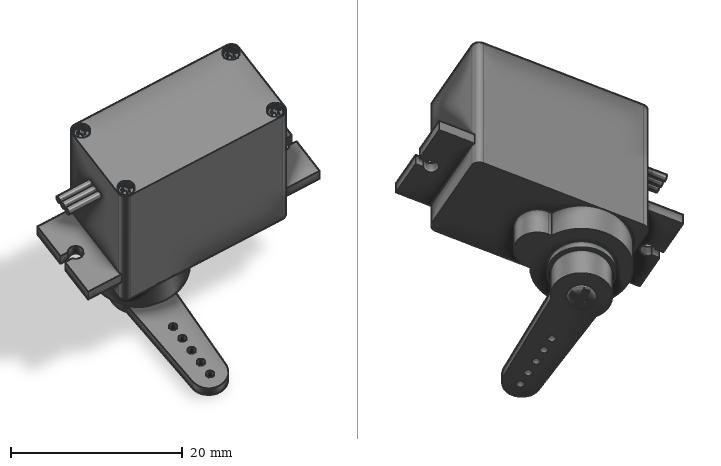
import cadquery as cq
import math


case_width = 12.0
case_length = 23.0
case_height = 21.0
case_corner_radius = 1.0
case_front = -case_width / 2
case_center_y = case_front + case_length / 2

lug_span = 32
lug_width = 11.0
lug_thickness = 1.6
lug_bottom = 3.45
lug_hole_diameter = 1.82
lug_hole_inset = 1.8
lug_slot_width = 1.0

gearbox_height = 4.0
lobe_radius = 2.75
lobe_offset = 5.8

collar_diameter = 8
collar_height = 1.0
shaft_diameter = 4.8
horn_gap = 0.1

wire_diameter = 0.93
wire_pitch = 0.95
wire_count = 3
wire_drop = 5.05
wire_length = (lug_span - case_length) / 2

lid_screw_inset = 1.2
lid_recess_diameter = 2.05
lid_recess_depth = 0.5
lid_head_diameter = 1.8
lid_head_height = 0.45
lid_cross_length = 1.15
lid_cross_width = 0.4
lid_cross_depth = 0.35

hub_diameter = 7.2
hub_height = 4.0
arm_thickness = 1.4
arm_root_half_width = 3.05
arm_tip_radius = 2.3
arm_tip_x = 15.17
arm_hole_diameter = 1.0
arm_hole_first_x = 7.5
arm_hole_last_x = 15.5
arm_hole_count = 5

horn_head_diameter = 3.52
horn_head_height = 0.55
horn_cross_length = 2.8
horn_cross_width = 0.77
horn_cross_depth = 0.4

gearbox_bottom = -gearbox_height
collar_bottom = gearbox_bottom - collar_height
hub_top = collar_bottom - horn_gap
hub_bottom = hub_top - hub_height


def cylinder_down(diameter, top, height):
    """Cylinder on the output axis, hanging from the given level."""
    return cq.Workplane("XY").workplane(offset=top).circle(diameter / 2).extrude(-height)


def screw_head(diameter, height, cross_length, cross_width, cross_depth):
    """Elliptical domed head standing on Z = 0 with a cross recess in its crown."""
    radius = diameter / 2
    dome = (
        cq.Workplane("XZ")
        .lineTo(radius, 0)
        .ellipseArc(radius, height, 0, 90)
        .close()
        .revolve(360, (0, 0), (0, 1))
    )
    cross_floor = cq.Workplane("XY").workplane(offset=height - cross_depth)
    bar_x = cross_floor.rect(cross_length, cross_width).extrude(cross_depth)
    bar_y = cross_floor.rect(cross_width, cross_length).extrude(cross_depth)
    return dome.cut(bar_x).cut(bar_y)


def make_case():
    return (
        cq.Workplane("XY")
        .center(0, case_center_y)
        .rect(case_width, case_length)
        .extrude(case_height)
        .edges("|Z")
        .fillet(case_corner_radius)
    )


def make_lugs():
    """One bar through the case, with an open keyhole at each end."""
    base = cq.Workplane("XY").workplane(offset=lug_bottom).center(0, case_center_y)
    lugs = base.rect(lug_width, lug_span).extrude(lug_thickness)
    for end in (-1, 1):
        hole_y = end * (lug_span / 2 - lug_hole_inset)
        slot_y = end * (lug_span - lug_hole_inset) / 2
        hole = base.center(0, hole_y).circle(lug_hole_diameter / 2).extrude(lug_thickness)
        slot = base.center(0, slot_y).rect(lug_slot_width, lug_hole_inset).extrude(lug_thickness)
        lugs = lugs.cut(hole).cut(slot)
    return lugs


def make_gearbox():
    main = cylinder_down(case_width, 0, gearbox_height)
    lobe = (
        cq.Workplane("XY")
        .center(0, lobe_offset / 2)
        .slot2D(lobe_offset + 2 * lobe_radius, 2 * lobe_radius, 90)
        .extrude(-gearbox_height)
    )
    return main.union(lobe)


def make_output():
    """Collar, and the shaft that bridges the small gap down to the horn."""
    collar = cylinder_down(collar_diameter, gearbox_bottom, collar_height)
    shaft = cylinder_down(shaft_diameter, collar_bottom, horn_gap)
    return collar.union(shaft)


def make_wires():
    wire_z = case_height - wire_drop
    return (
        cq.Workplane("XZ", origin=(0, case_front, wire_z))
        .rarray(wire_pitch, 0.32, wire_count, 1)
        .circle(wire_diameter / 2)
        .extrude(wire_length)
    )


def add_lid_screws(body):
    """Sink a round recess at each corner of the top and seat a screw head in it."""
    recess_floor = case_height - lid_recess_depth
    spacing_x = case_width - 2 * lid_screw_inset
    spacing_y = case_length - 2 * lid_screw_inset
    head = screw_head(lid_head_diameter, lid_head_height, lid_cross_length, lid_cross_width, lid_cross_depth)
    for side_x in (-1, 1):
        for side_y in (-1, 1):
            place = (side_x * spacing_x / 2, case_center_y + side_y * spacing_y / 2, recess_floor)
            recess = (
                cq.Workplane("XY", origin=place)
                .circle(lid_recess_diameter / 2)
                .extrude(lid_recess_depth)
            )
            body = body.cut(recess).union(head.translate(place))
    return body


def make_housing():
    body = make_case().union(make_lugs()).union(make_gearbox()).union(make_output())
    body = body.union(make_wires())
    return add_lid_screws(body)


def make_horn():
    """Round hub with a tapered arm along +X, flush with the bottom of the hub."""
    tip_distance = math.hypot(arm_tip_x, arm_root_half_width)
    taper = math.acos(arm_tip_radius / tip_distance) - math.atan2(arm_tip_x, arm_root_half_width)
    tangent_x = arm_tip_x + arm_tip_radius * math.sin(taper)
    tangent_y = arm_tip_radius * math.cos(taper)
    base = cq.Workplane("XY").workplane(offset=hub_bottom)
    arm = (
        base.moveTo(0, -arm_root_half_width)
        .lineTo(tangent_x, -tangent_y)
        .threePointArc((arm_tip_x + arm_tip_radius, 0), (tangent_x, tangent_y))
        .lineTo(0, arm_root_half_width)
        .close()
        .extrude(arm_thickness)
    )
    hole_pitch = (arm_hole_last_x - arm_hole_first_x) / (arm_hole_count - 1)
    hole_points = [(arm_hole_first_x + i * hole_pitch, 0) for i in range(arm_hole_count)]
    holes = base.pushPoints(hole_points).circle(arm_hole_diameter / 2).extrude(arm_thickness)
    return cylinder_down(hub_diameter, hub_top, hub_height).union(arm).cut(holes)


def make_horn_screw():
    """Domed head turned over so that its flat side rests on the bottom of the hub."""
    head = screw_head(
        horn_head_diameter, horn_head_height, horn_cross_length, horn_cross_width, horn_cross_depth
    )
    return head.rotate((0, 0, 0), (1, 0, 0), 180).translate((0, 0, hub_bottom))


housing = make_housing()
horn = make_horn()
horn_screw = make_horn_screw()

result = cq.Compound.makeCompound([housing.val(), horn.val(), horn_screw.val()])